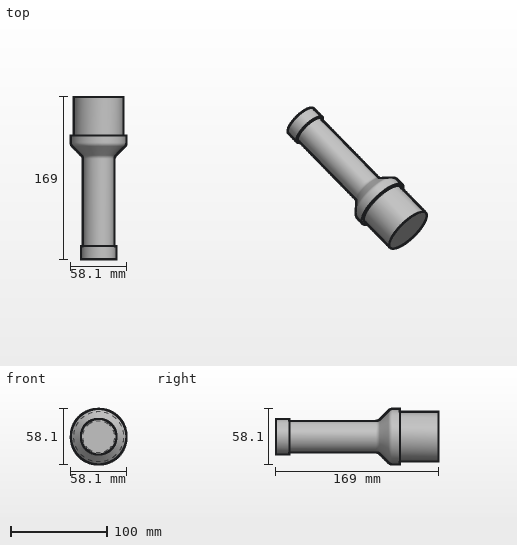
import cadquery as cq
import math


plug_diameter = 52.1
plug_length = 40.0

collar_diameter = 58.1
collar_length = 10.0
shaft_diameter = 33.1
body_length = 115.0
taper_angle = math.radians(45)
blend_radius = 5.0

cap_diameter = 37.1
cap_length = 14.0


def make_cylinder(diameter, start_y, length):
    """Cylinder about the Y axis that runs from start_y towards -Y."""
    plane = cq.Workplane("XZ", origin=(0, start_y, 0))
    return plane.circle(diameter / 2).extrude(length)


def make_body():
    """Collar that tapers to the shaft, with a tangent arc at each end of the taper."""
    collar_radius = collar_diameter / 2
    shaft_radius = shaft_diameter / 2

    arc_length = blend_radius * math.sin(taper_angle)
    arc_depth = blend_radius * (1 - math.cos(taper_angle))
    taper_depth = collar_radius - shaft_radius - 2 * arc_depth
    taper_length = taper_depth / math.tan(taper_angle)

    round_start_y = -collar_length + blend_radius * math.tan(taper_angle / 2)
    round_end_y = round_start_y - arc_length
    taper_end_y = round_end_y - taper_length
    shaft_start_y = taper_end_y - arc_length

    profile = (
        cq.Workplane("YZ")
        .lineTo(0, collar_radius)
        .lineTo(round_start_y, collar_radius)
        .tangentArcPoint((round_end_y, collar_radius - arc_depth), relative=False)
        .lineTo(taper_end_y, shaft_radius + arc_depth)
        .tangentArcPoint((shaft_start_y, shaft_radius), relative=False)
        .lineTo(-body_length, shaft_radius)
        .lineTo(-body_length, 0)
        .close()
    )
    return profile.revolve(360, (0, 0, 0), (1, 0, 0))


plug = make_cylinder(plug_diameter, plug_length, plug_length)
body = make_body()
end_cap = make_cylinder(cap_diameter, -body_length, cap_length)

result = cq.Compound.makeCompound([plug.val(), body.val(), end_cap.val()])